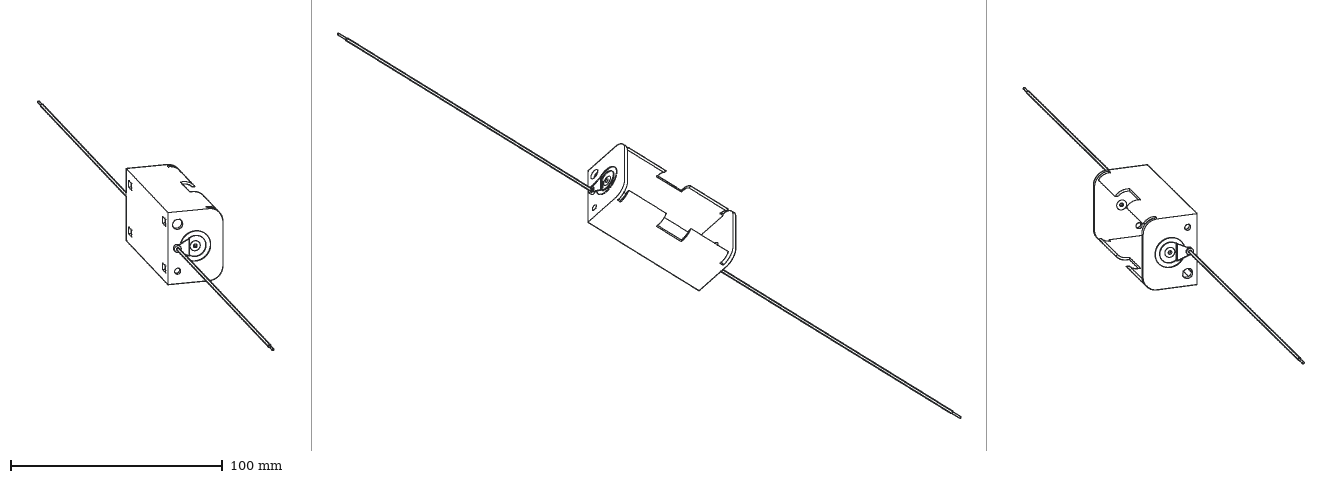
import cadquery as cq
import math


length = 68.5
width = 36.0
height = 27.2
wall = 1.2
end_wall = 1.8
corner_radius = 7.0
shoulder_y = height - corner_radius
wing_top_y = 26.0
wing_end_gap = 1.8
wing_gap_floor_y = 19.9
notch_length = 15.2
notch_floor_y = 18.8

slot_length = 5.2
slot_width = 3.3
slot_x = 27.8
slot_z = 11.6
wire_hole_y = 4.8
wire_hole_z = 11.7
small_hole_diameter = 3.0
large_hole_diameter = 5.0

axis_y = height / 2
recess_diameter = 15.0
recess_depth = 0.5
plate_diameter = 10.4
plate_thickness = recess_depth
rivet_hole_diameter = 5.0
rivet_rim_diameter = 6.6
rivet_flare_diameter = 4.2
rivet_flare_depth = 0.3
rivet_bore_diameter = 1.8
bend_y = 10.6
lug_root_half_width = 4.5
knee_reach = 0.9
knee_drop = 0.3
knee_y = bend_y - knee_drop
lug_tip_half_width = 1.6
barrel_diameter = 3.4
barrel_reach = 1.9

wire_y = 4.3
overall_length = 383.12
wire_diameter = 1.5
core_diameter = 1.0
bare_length = 5.2

half_length = length / 2
half_width = width / 2
inner_length = length - 2 * end_wall


def box(x_range, y_range, z_range):
    """Axis-aligned box from its (low, high) limits on each axis."""
    sizes = [high - low for low, high in (x_range, y_range, z_range)]
    corner = (x_range[0], y_range[0], z_range[0])
    return cq.Workplane("XY").box(*sizes, centered=False).translate(corner)


def x_cylinder(diameter, x_start, x_end, y, z=0):
    """Cylinder along X between two X positions."""
    start = cq.Workplane("YZ", origin=(x_start, y, z))
    return start.circle(diameter / 2).extrude(x_end - x_start)


def rounded_block(x_range, inset=0):
    """Block with the cross section of the holder shrunk by an inset, its two mouth corners rounded."""
    block = box(x_range, (inset, height - inset), (inset - half_width, half_width - inset))
    return block.edges("|X and >Y").fillet(corner_radius - inset)


def turned_to_far_end(body):
    """Copy of a -X body turned half a turn about the Y axis, onto the +X end."""
    return body.rotate((0, 0, 0), (0, 1, 0), 180)


def end_openings():
    """Recess, rivet hole and two wire holes of the -X end wall."""
    face = -half_length
    inside = face + end_wall
    recess = x_cylinder(recess_diameter, face, face + recess_depth, axis_y)
    rivet_hole = x_cylinder(rivet_hole_diameter, face, inside, axis_y)
    small = x_cylinder(small_hole_diameter, face, inside, wire_hole_y, wire_hole_z)
    large = x_cylinder(large_hole_diameter, face, inside, wire_hole_y, -wire_hole_z)
    return recess.union(rivet_hole).union(small).union(large)


def make_housing():
    """Open box whose side walls curl inward as wings, with full-height rounded end walls."""
    body = rounded_block((-half_length, half_length))
    inner_x = (-inner_length / 2, inner_length / 2)
    body = body.cut(rounded_block(inner_x, wall))

    rise = wing_top_y - shoulder_y
    mouth_half = half_width - corner_radius + math.sqrt(corner_radius**2 - rise**2)
    body = body.cut(box(inner_x, (shoulder_y, height), (-mouth_half, mouth_half)))

    across = (-half_width, half_width)
    gap_x = inner_length / 2 - wing_end_gap
    body = body.cut(box((-inner_length / 2, -gap_x), (wing_gap_floor_y, height), across))
    body = body.cut(box((gap_x, inner_length / 2), (wing_gap_floor_y, height), across))
    body = body.cut(box((-notch_length / 2, notch_length / 2), (notch_floor_y, height), across))

    for x in (-slot_x, slot_x):
        for z in (-slot_z, slot_z):
            slot = cq.Workplane("XY").box(slot_length, 2 * wall, slot_width)
            body = body.cut(slot.translate((x, 0, z)))

    openings = end_openings()
    return body.cut(openings).cut(turned_to_far_end(openings))


def make_terminal():
    """Riveted plate on the -X end with a lug that bends outward to a barrel around the wire core."""
    face = -half_length
    plate = x_cylinder(plate_diameter, face, face + plate_thickness, axis_y)
    plate = plate.cut(box((face, face + plate_thickness), (0, bend_y), (-half_width, half_width)))
    shank = x_cylinder(rivet_hole_diameter, face, face + end_wall, axis_y)
    flare = (
        cq.Workplane("YZ", origin=(face, axis_y, 0))
        .circle(rivet_rim_diameter / 2)
        .workplane(offset=rivet_flare_depth)
        .circle(rivet_flare_diameter / 2)
        .loft()
    )
    bore = x_cylinder(rivet_bore_diameter, face, face + end_wall, axis_y)

    knee_x = face - knee_reach
    tip_x = face - barrel_reach
    strip = (
        cq.Workplane("XY")
        .polyline([
            (face, bend_y),
            (face + plate_thickness, bend_y),
            (knee_x + plate_thickness, knee_y),
            (tip_x + plate_thickness, wire_y),
            (tip_x, wire_y),
            (knee_x, knee_y),
        ])
        .close()
        .extrude(lug_root_half_width, both=True)
    )
    taper = (
        cq.Workplane("YZ", origin=(face - barrel_reach, 0, 0))
        .polyline([
            (bend_y, -lug_root_half_width),
            (bend_y, lug_root_half_width),
            (wire_y, lug_tip_half_width),
            (wire_y, -lug_tip_half_width),
        ])
        .close()
        .extrude(barrel_reach + plate_thickness)
    )
    lug = strip.intersect(taper)
    barrel = x_cylinder(barrel_diameter, face - barrel_reach, face, wire_y)
    core_hole = x_cylinder(core_diameter, face - barrel_reach, face, wire_y)
    terminal = plate.union(shank).cut(flare).cut(bore)
    return terminal.union(lug).union(barrel).cut(core_hole)


def make_core():
    """Conductor of the -X wire, from the housing wall through the barrel to its bare tip."""
    return x_cylinder(core_diameter, -overall_length / 2, -half_length, wire_y)


def make_insulation():
    """Sleeve of the -X wire, from the barrel to where the conductor is bared."""
    start = -overall_length / 2 + bare_length
    end = -half_length - barrel_reach
    sleeve = x_cylinder(wire_diameter, start, end, wire_y)
    return sleeve.cut(x_cylinder(core_diameter, start, end, wire_y))


housing = make_housing().solids()
bodies = [housing.val()]
for make_body in (make_terminal, make_core, make_insulation):
    body = make_body().solids()
    bodies.append(body.val())
    bodies.append(turned_to_far_end(body).val())

result = cq.Compound.makeCompound(bodies)